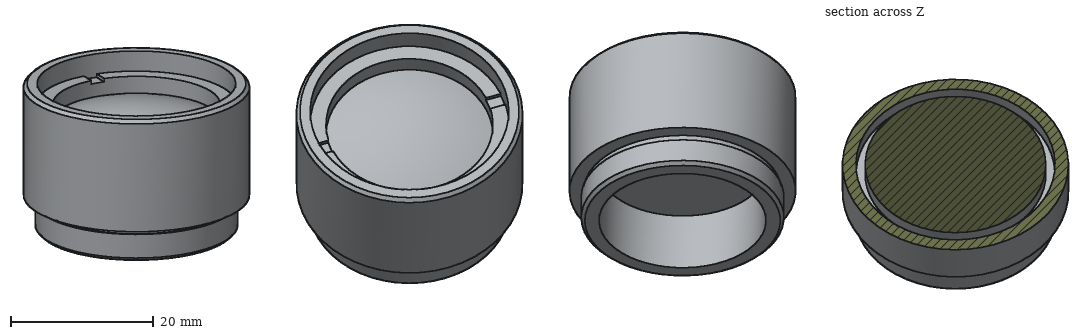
import cadquery as cq
import math

outer_radius = 15.88
total_height = 21.5
spigot_radius = 14.23
spigot_height = 4.0
relief_radius = 13.9
relief_height = 1.0
chamfer = 0.5
bore_radius = 13.95
aperture_radius = 11.72
lip_height = 8.8

ring_recess = 3.0
ring_thickness = 2.5
slot_width = 2.0
slot_depth = 0.5

lens_radius = 12.7
dome_radius = 33.35

ring_top = total_height - ring_recess
ring_bottom = ring_top - ring_thickness

dome_center_z = ring_bottom - math.sqrt(dome_radius**2 - aperture_radius**2)
lens_apex_z = dome_center_z + dome_radius
lens_edge_z = dome_center_z + math.sqrt(dome_radius**2 - lens_radius**2)


def cylinder(radius, bottom, top):
    """Upright cylinder on the Z axis between two heights."""
    return cq.Workplane("XY").workplane(offset=bottom).circle(radius).extrude(top - bottom)


def make_housing():
    shoulder_z = spigot_height + relief_height
    spigot = cylinder(spigot_radius, 0, spigot_height).faces("<Z").chamfer(chamfer)
    relief = cylinder(relief_radius, spigot_height, shoulder_z)
    barrel = cylinder(outer_radius, shoulder_z, total_height).faces(">Z").chamfer(chamfer)
    aperture = cylinder(aperture_radius, 0, total_height)
    bore = cylinder(bore_radius, lip_height, total_height)
    return spigot.union(relief).union(barrel).cut(aperture).cut(bore)


def make_retaining_ring():
    ring = cylinder(bore_radius, ring_bottom, ring_top)
    ring = ring.cut(cylinder(aperture_radius, ring_bottom, ring_top))
    slots = (
        cq.Workplane("XY")
        .workplane(offset=ring_top - slot_depth)
        .rect(2 * outer_radius, slot_width)
        .extrude(slot_depth)
    )
    return ring.cut(slots)


def make_lens():
    half_profile = (
        cq.Workplane("XZ")
        .moveTo(0, lip_height)
        .lineTo(lens_radius, lip_height)
        .lineTo(lens_radius, lens_edge_z)
        .radiusArc((0, lens_apex_z), -dome_radius)
        .close()
    )
    return half_profile.revolve(360, (0, 0, 0), (0, 1, 0))


housing = make_housing()
retaining_ring = make_retaining_ring()
lens = make_lens()

result = cq.Compound.makeCompound([housing.val(), retaining_ring.val(), lens.val()])